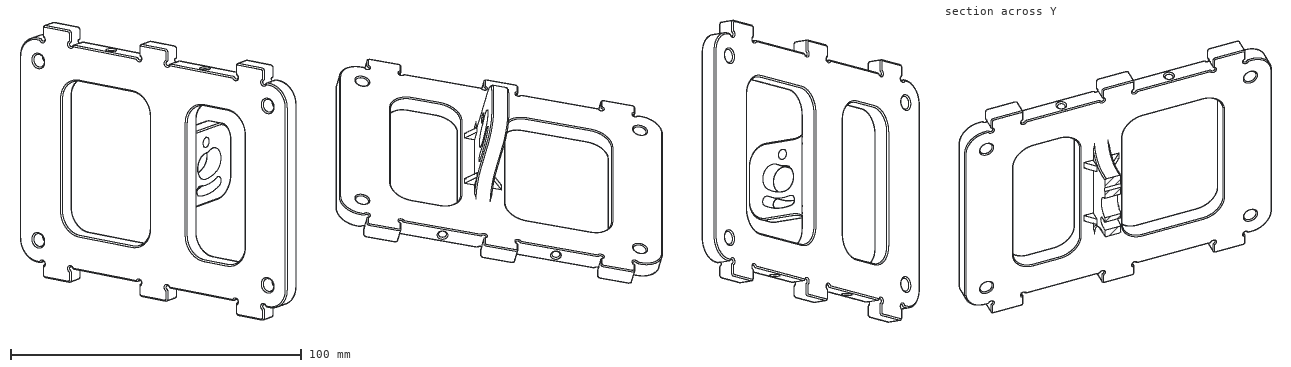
import cadquery as cq
import math

plate_width = 114.0
plate_height = 80.0
plate_thickness = 6.0
plate_corner_radius = 7.5
edge_chamfer = 0.5
back_chamfer = 0.4

tab_width = 12.0
tab_length = 5.0
tab_pitch = 41.25
tab_corner_radius = 1.0
relief_radius = 0.75
relief_mouth_radius = 0.75

window_spans = [(-39.0, -1.5), (14.25, 39.0)]
window_height = 55.0
window_radius = 7.5

mount_hole_diameter = 4.5
mount_hole_inset = 8.0
edge_hole_diameter = 2.7
edge_hole_x = 20.0
edge_hole_depth = 10.0

bracket_thickness = 6.0
bracket_reach = 27.0
bracket_height = 27.0
bracket_radius = 7.5
bracket_x = (window_spans[0][1] + window_spans[1][0]) / 2
bracket_left = bracket_x - bracket_thickness / 2

pivot_y = 18.1
pivot_z = 8.5
pivot_diameter = 3.5
wide_slot_radius = 8.5
wide_slot_width = 9.2
wide_slot_angles = (-28.0, 1.5)
narrow_slot_radius = 17.0
narrow_slot_width = 3.5
narrow_slot_angles = (-24.0, 12.0)

gusset_leg = 3.5
gusset_width = 2.5

half_height = plate_height / 2
tab_centers = [-tab_pitch, 0.0, tab_pitch]

tab_roots = [
    (x + side * tab_width / 2, side, end * half_height, end)
    for x in tab_centers
    for side in (-1, 1)
    for end in (-1, 1)
]


def front_sketch():
    """Sketch plane on the front face; a negative extrusion runs toward +Y."""
    return cq.Workplane("XZ")


def mouth_selectors():
    """Pick the sharp edges where each relief breaks into the tab side and the plate edge."""
    selectors = []
    for x, side, z, end in tab_roots:
        mouths = [(x + side * relief_radius, z), (x, z + end * relief_radius)]
        for mouth_x, mouth_z in mouths:
            middle = (mouth_x, plate_thickness / 2, mouth_z)
            selectors.append(cq.selectors.NearestToPointSelector(middle))
    return selectors


def make_plate():
    plate = (
        front_sketch()
        .rect(plate_width, plate_height)
        .extrude(-plate_thickness)
        .edges("|Y")
        .fillet(plate_corner_radius)
    )
    tabs = (
        front_sketch()
        .pushPoints([(x, 0) for x in tab_centers])
        .rect(tab_width, plate_height + 2 * tab_length)
        .extrude(-plate_thickness)
        .edges("|Y")
        .fillet(tab_corner_radius)
    )
    relief_points = [(x, z) for x, _, z, _ in tab_roots]
    reliefs = front_sketch().pushPoints(relief_points).circle(relief_radius).extrude(-plate_thickness)
    plate = plate.union(tabs).cut(reliefs)

    mouth_edges = [plate.edges("|Y").edges(selector).val() for selector in mouth_selectors()]
    return plate.newObject(mouth_edges).fillet(relief_mouth_radius)


def cut_windows(plate):
    for left, right in window_spans:
        window = (
            front_sketch()
            .center((left + right) / 2, 0)
            .rect(right - left, window_height)
            .extrude(-plate_thickness)
            .edges("|Y")
            .fillet(window_radius)
        )
        plate = plate.cut(window)
    return plate


def cut_mount_holes(plate):
    spacing_x = plate_width - 2 * mount_hole_inset
    spacing_z = plate_height - 2 * mount_hole_inset
    holes = (
        front_sketch()
        .rect(spacing_x, spacing_z, forConstruction=True)
        .vertices()
        .circle(mount_hole_diameter / 2)
        .extrude(-plate_thickness)
    )
    return plate.cut(holes)


def cut_edge_holes(plate):
    """Countersunk holes from the top and bottom edges, ending blind short of the windows."""
    mouth_radius = edge_hole_diameter / 2 + edge_chamfer
    for x in (-edge_hole_x, edge_hole_x):
        for end in (-1, 1):
            mouth = cq.Vector(x, plate_thickness / 2, end * half_height)
            inward = cq.Vector(0, 0, -end)
            bore = cq.Solid.makeCylinder(edge_hole_diameter / 2, edge_hole_depth, mouth, inward)
            sink = cq.Solid.makeCone(mouth_radius, edge_hole_diameter / 2, edge_chamfer, mouth, inward)
            plate = plate.cut(cq.Workplane(bore)).cut(cq.Workplane(sink))
    return plate


def make_bracket():
    half = bracket_height / 2
    root = half + bracket_radius
    back = plate_thickness
    tip = back + bracket_reach
    r = bracket_radius
    bulge = r * math.sqrt(0.5)
    profile = (
        cq.Workplane("YZ", origin=(bracket_left, 0, 0))
        .moveTo(back, -root)
        .threePointArc((back + r - bulge, -root + bulge), (back + r, -half))
        .lineTo(tip - r, -half)
        .threePointArc((tip - r + bulge, -half + r - bulge), (tip, -half + r))
        .lineTo(tip, half - r)
        .threePointArc((tip - r + bulge, half - r + bulge), (tip - r, half))
        .lineTo(back + r, half)
        .threePointArc((back + r - bulge, root - bulge), (back, root))
        .close()
        .extrude(bracket_thickness)
    )
    outline = profile.faces("<X or >X").edges("not(<Y)")
    return outline.chamfer(edge_chamfer)


def slot_point(radius, angle):
    """Point at an angle from straight below the pivot, positive toward the plate."""
    turn = math.radians(angle)
    return (pivot_y - radius * math.sin(turn), pivot_z - radius * math.cos(turn))


def curved_slot(radius, width, angles):
    start, end = angles
    middle = (start + end) / 2
    inner = radius - width / 2
    outer = radius + width / 2
    return (
        cq.Workplane("YZ", origin=(bracket_left, 0, 0))
        .moveTo(*slot_point(outer, start))
        .threePointArc(slot_point(outer, middle), slot_point(outer, end))
        .tangentArcPoint(slot_point(inner, end), relative=False)
        .threePointArc(slot_point(inner, middle), slot_point(inner, start))
        .tangentArcPoint(slot_point(outer, start), relative=False)
        .close()
        .extrude(bracket_thickness)
    )


def cut_bracket_openings(bracket):
    pivot = (
        cq.Workplane("YZ", origin=(bracket_left, 0, 0))
        .center(pivot_y, pivot_z)
        .circle(pivot_diameter / 2)
        .extrude(bracket_thickness)
    )
    wide_slot = curved_slot(wide_slot_radius, wide_slot_width, wide_slot_angles)
    narrow_slot = curved_slot(narrow_slot_radius, narrow_slot_width, narrow_slot_angles)
    return bracket.cut(pivot).cut(wide_slot).cut(narrow_slot)


def add_gussets(part):
    """Triangular gussets on both sides, flush with the bracket's top and bottom."""
    base = bracket_thickness / 2 + gusset_leg
    peak = plate_thickness + gusset_leg
    for bottom in (-bracket_height / 2, bracket_height / 2 - gusset_width):
        for side in (-1, 1):
            gusset = (
                cq.Workplane("XY", origin=(bracket_x, 0, bottom))
                .moveTo(0, plate_thickness)
                .lineTo(side * base, plate_thickness)
                .lineTo(side * bracket_thickness / 2, peak)
                .lineTo(0, peak)
                .close()
                .extrude(gusset_width)
            )
            part = part.union(gusset)
    return part


plate = cut_mount_holes(cut_windows(make_plate()))
plate = plate.faces("<Y").edges().chamfer(edge_chamfer)
plate = plate.faces(">Y").edges().chamfer(back_chamfer)
plate = cut_edge_holes(plate)
bracket = cut_bracket_openings(make_bracket())
result = add_gussets(plate.union(bracket))